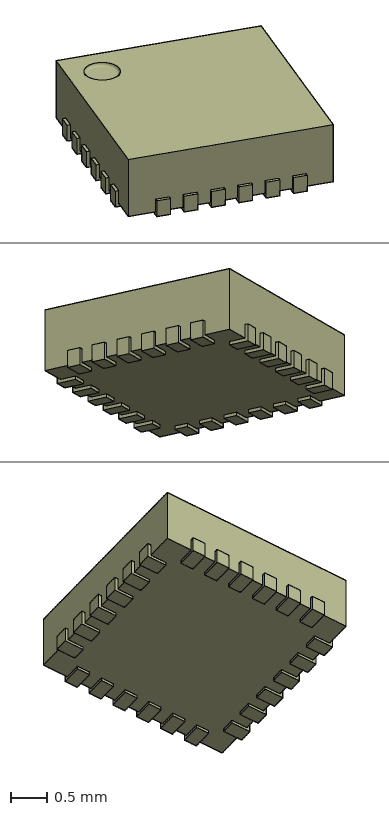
import cadquery as cq
import math

overall_size = 3.1
overall_height = 0.95

plating = 0.05
terminal_width = 0.2
terminal_height = 0.25
terminal_length = 0.3
terminal_pitch = 0.4
terminals_per_side = 6

dimple_radius = 0.25
dimple_depth = 0.05
dimple_inset = 0.5

body_size = overall_size - 2 * plating
body_height = overall_height - plating


def make_body():
    """Square moulded block, raised above the seating plane by the plating."""
    return (
        cq.Workplane("XY", origin=(0, 0, plating))
        .rect(body_size, body_size)
        .extrude(body_height)
    )


def make_dimple():
    """Round cutter for the pin-one mark, near the -X -Y corner, with a filleted floor edge."""
    center = -body_size / 2 + dimple_inset
    floor_radius = dimple_radius - dimple_depth
    floor_height = overall_height - dimple_depth
    arc_middle = dimple_depth * math.sqrt(0.5)
    return (
        cq.Workplane("XZ", origin=(center, center, 0))
        .moveTo(0, floor_height)
        .lineTo(floor_radius, floor_height)
        .threePointArc(
            (floor_radius + arc_middle, overall_height - arc_middle),
            (dimple_radius, overall_height),
        )
        .lineTo(0, overall_height)
        .close()
        .revolve(360, (0, 0), (0, 1))
    )


def make_terminal(offset):
    """L-shaped terminal on the -Y side, centred at X = offset."""
    outer = -overall_size / 2
    wall = outer + plating
    return (
        cq.Workplane("YZ", origin=(offset - terminal_width / 2, 0, 0))
        .moveTo(outer, 0)
        .lineTo(outer + terminal_length, 0)
        .lineTo(outer + terminal_length, plating)
        .lineTo(wall, plating)
        .lineTo(wall, terminal_height)
        .lineTo(outer, terminal_height)
        .close()
        .extrude(terminal_width)
    )


result = make_body().cut(make_dimple())

first_offset = -terminal_pitch * (terminals_per_side - 1) / 2
for side_angle in (0, 90, 180, 270):
    for index in range(terminals_per_side):
        terminal = make_terminal(first_offset + index * terminal_pitch)
        result = result.union(terminal.rotate((0, 0, 0), (0, 0, 1), side_angle))